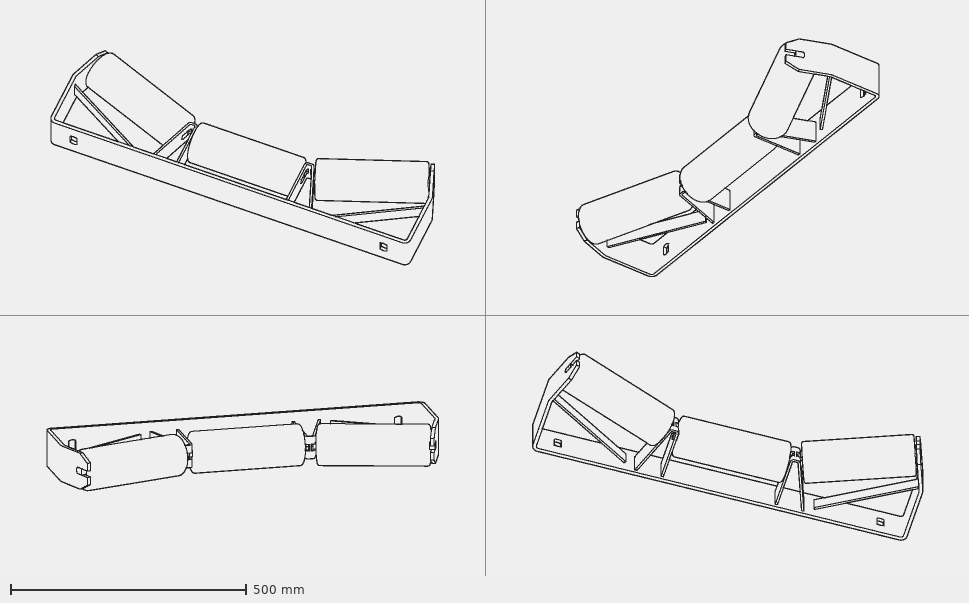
import cadquery as cq
import math


frame_length = 830.0
plate = 8.0
frame_height = 80.0
bend_inner_radius = 6.0
bend_outer_radius = bend_inner_radius + plate
wing_start_y = 132.0
wing_length = 100.5
wing_chamfer_along = 29.0
wing_chamfer_z = 16.0
mount_slot_width = 16.0
mount_slot_height = 26.0
mount_slot_x = 358.0

trough_angle = 20.0
roller_radius = 45.0
roller_length = 240.0
roller_edge_radius = 5.0
roller_gap = 4.0
axis_on_wing = 69.0
middle_axis_y = 100.5
wing_axis_z = 0.0
bracket_axis_z = -6.15
shaft_width = 14.0
shaft_depth = 19.0
shaft_overrun = 2.0
shaft_radius = 10.0

bracket_plate = 5.0
bracket_height = 50.0
bracket_top_y = 129.0
bracket_outer_radius = 7.5
bracket_inner_radius = bracket_outer_radius - bracket_plate

brace_plate = 5.0
brace_height = 30.0
brace_angle = 30.0
brace_wall_y = 127.0

half_length = frame_length / 2
trough_sin = math.sin(math.radians(trough_angle))
trough_cos = math.cos(math.radians(trough_angle))
bracket_face_x = roller_length / 2 + roller_gap
side_bracket_distance = plate + 2 * roller_gap + roller_length


def wing_point(inward, along):
    """Point measured square to the left wing from its outer face, and along the wing."""
    return (
        -half_length + inward * trough_cos + along * trough_sin,
        wing_start_y - inward * trough_sin + along * trough_cos,
    )


def wing_parallel_x(inward, y):
    """X at height y of the line parallel to the left wing at the given inward distance."""
    return -half_length + (inward + (y - wing_start_y) * trough_sin) / trough_cos


def mirrored(body):
    return body.mirror("YZ")


def extruded(points, height):
    return cq.Workplane("XY").polyline(points).close().extrude(height / 2, both=True)


def round_bend(body, point, radius):
    """Round the upright edge that stands at the given XY point."""
    return body.edges(cq.selectors.NearestToPointSelector((*point, 0))).fillet(radius)


def place_along(body, start, end):
    """Move a body built along +X from the origin so that it runs from start towards end."""
    dx, dy, dz = (b - a for a, b in zip(start, end))
    tilt = math.degrees(math.atan2(dz, math.hypot(dx, dy)))
    heading = math.degrees(math.atan2(dy, dx))
    return (
        body.rotate((0, 0, 0), (0, 1, 0), -tilt)
        .rotate((0, 0, 0), (0, 0, 1), heading)
        .translate(start)
    )



def shaft(length):
    """Shaft along +X with flat sides and top and a rounded bottom, filling its slot."""
    half_width = shaft_width / 2
    flat_y = shaft_depth / 2
    arc_rise = shaft_radius - math.sqrt(shaft_radius**2 - half_width**2)
    round_y = arc_rise - shaft_depth / 2
    return (
        cq.Workplane("YZ")
        .moveTo(flat_y, -half_width)
        .lineTo(flat_y, half_width)
        .lineTo(round_y, half_width)
        .threePointArc((-shaft_depth / 2, 0), (round_y, -half_width))
        .close()
        .extrude(length)
    )


def roller(drum_start, shaft_length):
    drum = cq.Workplane("YZ").circle(roller_radius).extrude(roller_length)
    drum = drum.faces("<X or >X").edges().fillet(roller_edge_radius)
    return shaft(shaft_length).union(drum.translate((drum_start, 0, 0)))


def middle_roller():
    shaft_half = bracket_face_x + bracket_plate
    start = (-shaft_half, middle_axis_y, bracket_axis_z)
    end = (shaft_half, middle_axis_y, bracket_axis_z)
    return place_along(roller(shaft_half - roller_length / 2, 2 * shaft_half), start, end)


def left_roller():
    span = side_bracket_distance + bracket_plate
    start = (*wing_point(0, axis_on_wing), wing_axis_z)
    end = (*wing_point(span, axis_on_wing), bracket_axis_z)
    overlong = roller(shaft_overrun + plate + roller_gap, span + 2 * shaft_overrun)
    tilted = place_along(overlong.translate((-shaft_overrun, 0, 0)), start, end)
    room_size = 3 * roller_radius
    room = cq.Workplane("XY").box(span, room_size, room_size, centered=(False, True, True))
    return tilted.intersect(place_along(room, start, (*end[:2], wing_axis_z)))



def open_slot(start, length, angle):
    """Cutter for a shaft slot that runs from a shaft axis out past the free edge."""
    reach = bracket_top_y - middle_axis_y + shaft_depth
    box = cq.Workplane("XY").box(length, reach, shaft_width, centered=(True, False, True))
    return box.rotate((0, 0, 0), (0, 0, 1), angle).translate(start)



def frame_plate():
    wall_inner_x = -half_length + plate
    inner_bend_y = wing_start_y - plate * math.tan(math.radians(trough_angle / 2))
    outer_corner = (-half_length, 0)
    inner_corner = (wall_inner_x, plate)
    outer_bend = (-half_length, wing_start_y)
    inner_bend = (wall_inner_x, inner_bend_y)
    left = [
        inner_corner,
        inner_bend,
        wing_point(plate, wing_length),
        wing_point(0, wing_length),
        outer_bend,
        outer_corner,
    ]
    right = [(-x, y) for x, y in reversed(left)]
    body = extruded(left + right, frame_height)
    left_bends = [
        (outer_corner, bend_outer_radius),
        (inner_corner, bend_inner_radius),
        (outer_bend, bend_outer_radius),
        (inner_bend, bend_inner_radius),
    ]
    for (x, y), radius in left_bends:
        body = round_bend(body, (x, y), radius)
        body = round_bend(body, (-x, y), radius)
    return body


def chamfer_cutter():
    """Wedges at the top and bottom corners of the left wing's tip."""
    half_height = frame_height / 2
    corner = [
        (wing_length, half_height),
        (wing_length - wing_chamfer_along, half_height),
        (wing_length, half_height - wing_chamfer_z),
    ]
    wedge = cq.Workplane("YZ").polyline(corner).close().extrude(plate, both=True)
    wedges = wedge.union(wedge.mirror("XY"))
    return wedges.rotate((0, 0, 0), (0, 0, 1), -trough_angle).translate((*wing_point(0, 0), 0))


def mount_slot():
    """Round hole with two upright flats, through the base."""
    hole = cq.Workplane("XZ").circle(mount_slot_height / 2).extrude(-plate)
    return hole.intersect(cq.Workplane("XY").box(mount_slot_width, 2 * plate, mount_slot_height))


def frame(side_rollers):
    wing_slot_start = (*wing_point(plate / 2, axis_on_wing), wing_axis_z)
    left_cutters = [
        open_slot(wing_slot_start, 2 * plate, -trough_angle),
        chamfer_cutter(),
        mount_slot().translate((-mount_slot_x, 0, 0)),
    ]
    body = frame_plate()
    for cutter in left_cutters:
        body = body.cut(cutter).cut(mirrored(cutter))
    for side_roller in side_rollers:
        body = body.cut(side_roller)
    return body



def left_bracket(side_roller, center_roller):
    side_inner = side_bracket_distance + bracket_plate
    inner_top_y = bracket_top_y - bracket_plate
    upright_inner_x = -bracket_face_x - bracket_plate
    outer_tops = [
        (wing_parallel_x(side_bracket_distance, bracket_top_y), bracket_top_y),
        (-bracket_face_x, bracket_top_y),
    ]
    inner_tops = [
        (upright_inner_x, inner_top_y),
        (wing_parallel_x(side_inner, inner_top_y), inner_top_y),
    ]
    body = extruded(
        [
            (wing_parallel_x(side_bracket_distance, plate), plate),
            *outer_tops,
            (-bracket_face_x, plate),
            (upright_inner_x, plate),
            *inner_tops,
            (wing_parallel_x(side_inner, plate), plate),
        ],
        bracket_height,
    )
    for point in outer_tops:
        body = round_bend(body, point, bracket_outer_radius)
    for point in inner_tops:
        body = round_bend(body, point, bracket_inner_radius)
    side_start = (*wing_point(side_bracket_distance + bracket_plate / 2, axis_on_wing), bracket_axis_z)
    middle_start = (-bracket_face_x - bracket_plate / 2, middle_axis_y, bracket_axis_z)
    side_slot = open_slot(side_start, 2 * bracket_plate, -trough_angle)
    middle_slot = open_slot(middle_start, 2 * bracket_plate, 0)
    body = body.translate((0, 0, bracket_axis_z))
    return body.cut(side_slot).cut(middle_slot).cut(side_roller).cut(center_roller)



def left_brace():
    slope_sin = math.sin(math.radians(brace_angle))
    slope_cos = math.cos(math.radians(brace_angle))
    wall_x = -half_length + plate
    upper_length = (brace_wall_y - plate - brace_plate * slope_cos) / slope_sin
    upper_end = (wall_x + upper_length * slope_cos, plate + brace_plate * slope_cos)
    lower_end = (upper_end[0] - brace_plate * slope_sin, plate)
    wall_lower = (wall_x, brace_wall_y - brace_plate / slope_cos)
    return extruded([(wall_x, brace_wall_y), upper_end, lower_end, wall_lower], brace_height)


center_roller = middle_roller()
outer_roller = left_roller()
side_rollers = [outer_roller, mirrored(outer_roller)]
bodies = [frame(side_rollers), center_roller, *side_rollers]
for left_body in (left_bracket(outer_roller, center_roller), left_brace()):
    bodies += [left_body, mirrored(left_body)]

result = cq.Compound.makeCompound([body.solids().val() for body in bodies])